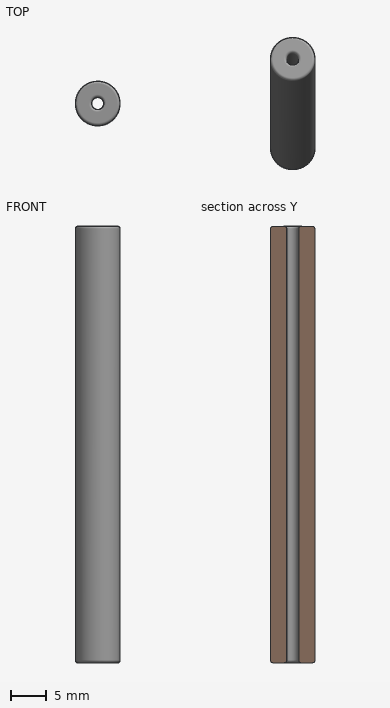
import cadquery as cq

length = 60.96
outer_diameter = 6.25
bore_diameter = 1.65
edge_radius = 0.381


def tube():
    """Round rod along Z, standing on the XY plane and bored right through."""
    outer = cq.Workplane("XY").circle(outer_diameter / 2)
    return outer.circle(bore_diameter / 2).extrude(length)


def round_ends(body):
    """Round the outer rim and the bore mouth on both end faces."""
    return body.faces("<Z or >Z").edges().fillet(edge_radius)


result = round_ends(tube())